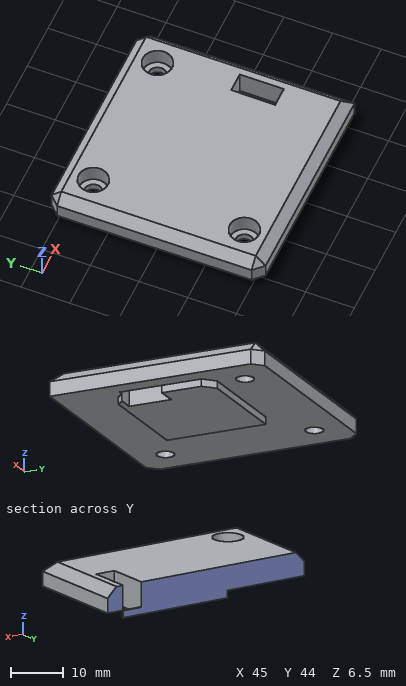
import cadquery as cq

length = 45.0
width = 44.0
plate_thickness = 5.0
bevel = 2.02

hole_diameter = 3.5
counterbore_diameter = 6.0
floor_thickness = 1.5
hole_inset_x = 7.0
hole_inset_y = 6.5

slot_left = 37.35
slot_right = 41.5
slot_front = 13.05
slot_back = 22.1
slot_ledge = 0.25

pad_height = 1.5
pad_left = 17.55
pad_bevel = 2.25
pad_width = 20.6
pad_front = (width - pad_width) / 2
pad_back = pad_front + pad_width
pad_slot_back = slot_back - slot_ledge


def block(left, right, front, back, bottom, top):
    """Box between the given limits along X, Y and Z."""
    size = (right - left, back - front, top - bottom)
    return cq.Workplane("XY").box(*size, centered=False).translate((left, front, bottom))


def beveled_plate():
    """Plate with a beveled top rim and all upright corners beveled except the front right one."""
    plate = block(0, length, 0, width, 0, plate_thickness)
    top_rim = plate.edges(">Z")
    left_corners = plate.edges("|Z and <X")
    back_right_corner = plate.edges("|Z and >X").edges(">Y")
    return plate.newObject(top_rim.add(left_corners).add(back_right_corner).vals()).chamfer(bevel)


def beveled_pad():
    """Flat pad whose two right corners are beveled."""
    pad = block(pad_left, slot_right, pad_front, pad_back, -pad_height, 0)
    return pad.edges("|Z and >X").chamfer(pad_bevel)


def counterbored_holes():
    """Cutters for the three screw holes; the front right corner has none."""
    left, right = hole_inset_x, length - hole_inset_x
    front, back = hole_inset_y, width - hole_inset_y
    centers = [(left, front), (left, back), (right, back)]
    shafts = cq.Workplane("XY").pushPoints(centers).circle(hole_diameter / 2).extrude(plate_thickness)
    counterbores = (
        cq.Workplane("XY", origin=(0, 0, floor_thickness))
        .pushPoints(centers)
        .circle(counterbore_diameter / 2)
        .extrude(plate_thickness - floor_thickness)
    )
    return shafts.union(counterbores)


plate_slot = block(slot_left, slot_right, slot_front, slot_back, 0, plate_thickness)
pad_slot = block(slot_left, slot_right, slot_front, pad_slot_back, -pad_height, 0)

plate = beveled_plate().cut(counterbored_holes()).cut(plate_slot)
pad = beveled_pad().cut(pad_slot)
result = plate.union(pad)